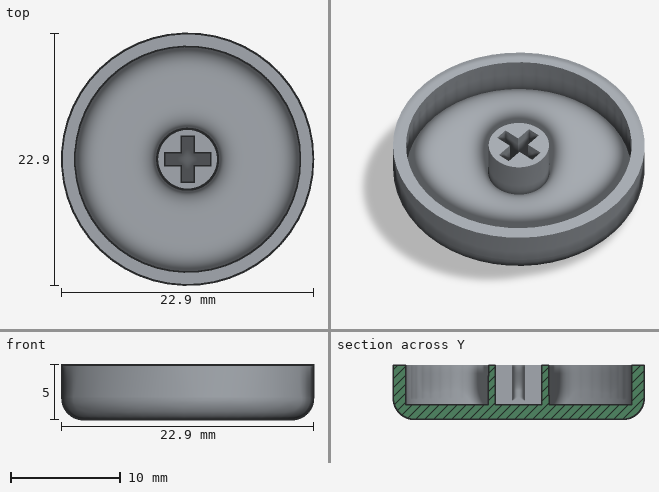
import cadquery as cq

outer_diameter = 22.92
cup_height = 5.0
bottom_edge_radius = 2.0

recess_diameter = 20.54
floor_thickness = 1.4
recess_depth = cup_height - floor_thickness

stem_foot_diameter = 5.6
stem_top_diameter = 5.5

cross_length = 4.2
cross_arm_width = 1.17
cross_depth = recess_depth


def make_cup():
    body = cq.Workplane("XY").circle(outer_diameter / 2).extrude(cup_height)
    body = body.faces("<Z").edges().fillet(bottom_edge_radius)
    recess = (
        cq.Workplane("XY")
        .workplane(offset=floor_thickness)
        .circle(recess_diameter / 2)
        .extrude(recess_depth)
    )
    return body.cut(recess)


def make_stem():
    foot = cq.Workplane("XY").workplane(offset=floor_thickness).circle(stem_foot_diameter / 2)
    return foot.workplane(offset=recess_depth).circle(stem_top_diameter / 2).loft(ruled=True)


def make_cross_socket():
    socket_floor = cq.Workplane("XY").workplane(offset=cup_height - cross_depth)
    along_x = socket_floor.rect(cross_length, cross_arm_width).extrude(cross_depth)
    along_y = socket_floor.rect(cross_arm_width, cross_length).extrude(cross_depth)
    return along_x.union(along_y)


result = make_cup().union(make_stem()).cut(make_cross_socket())